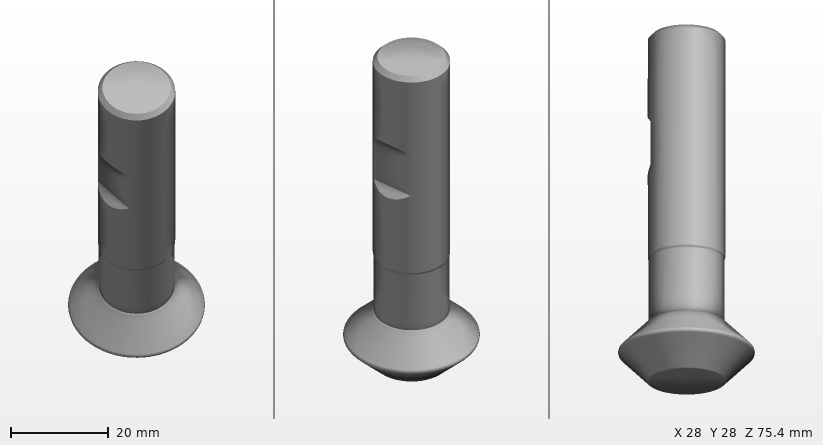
import cadquery as cq
import math

total_height = 75.4

head_diameter = 28.05
head_height = 12.7
rim_radius = 0.7
end_edge_radius = 0.45

shank_diameter = 15.9
neck_diameter = 15.5
shank_bottom = 26.55
step_height = 0.45
top_chamfer = 1.0

notch_depth = 1.65
notch_floor_length = 10.0
notch_center = 51.3


def make_head():
    """Double cone revolved about Z, its rim and both end edges rounded."""
    half_height = head_height / 2
    sharp_radius = head_diameter / 2 + rim_radius * (math.sqrt(2) - 1)
    end_radius = sharp_radius - half_height
    cones = (
        cq.Workplane("XZ")
        .lineTo(end_radius, 0)
        .lineTo(sharp_radius, half_height)
        .lineTo(end_radius, head_height)
        .lineTo(0, head_height)
        .close()
        .revolve(360, (0, 0, 0), (0, 1, 0))
    )
    rim = cq.selectors.RadiusNthSelector(-1)
    return (
        cones
        .faces("<Z or >Z").edges("%CIRCLE").fillet(end_edge_radius)
        .edges("%CIRCLE").edges(rim).fillet(rim_radius)
    )


def make_notch_cutter():
    """Trapezoidal prism along X that removes the shank notch."""
    outer_y = -shank_diameter / 2
    floor_y = outer_y + notch_depth
    half_floor = notch_floor_length / 2
    half_mouth = half_floor + notch_depth
    return (
        cq.Workplane("YZ")
        .moveTo(floor_y, notch_center - half_floor)
        .lineTo(floor_y, notch_center + half_floor)
        .lineTo(outer_y, notch_center + half_mouth)
        .lineTo(outer_y, notch_center - half_mouth)
        .close()
        .extrude(shank_diameter / 2, both=True)
    )


def make_shank():
    """Neck and notched clamping cylinder, joined by a short conical step."""
    shank_radius = shank_diameter / 2
    neck_radius = neck_diameter / 2
    blank = (
        cq.Workplane("XZ")
        .moveTo(0, head_height)
        .lineTo(neck_radius, head_height)
        .lineTo(neck_radius, shank_bottom)
        .lineTo(shank_radius, shank_bottom + step_height)
        .lineTo(shank_radius, total_height - top_chamfer)
        .lineTo(shank_radius - top_chamfer, total_height)
        .lineTo(0, total_height)
        .close()
        .revolve(360, (0, 0, 0), (0, 1, 0))
    )
    return blank.cut(make_notch_cutter())


head = make_head()
shank = make_shank()

result = cq.Compound.makeCompound([head.val(), shank.val()])